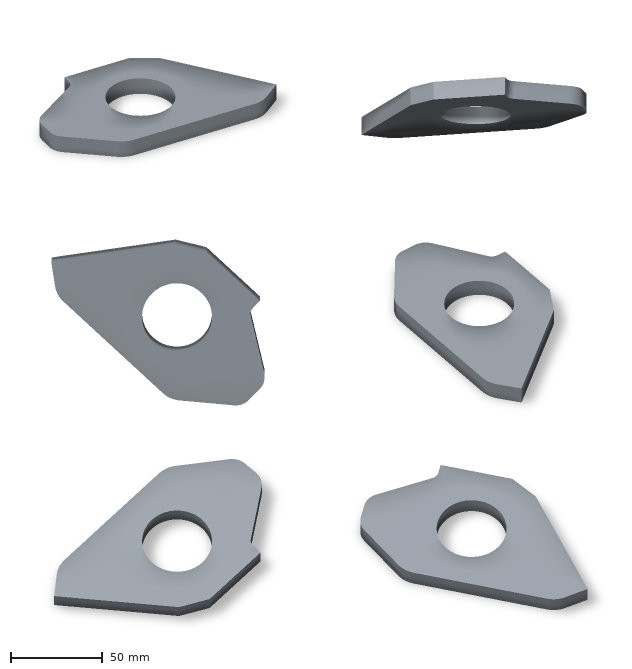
import cadquery as cq

plate_width = 73.9
plate_length = 131.2
thickness = 10.0
bore_diameter = 38.0
left_x = -37.7
right_x = left_x + plate_width
bottom_y = -60.4
tip_y = bottom_y + plate_length
tip_x = 24.7
step_y = -26.4

side_corner_radius = 15.0
bottom_corner_radius = 10.0
step_corner_radius = 5.0

left_step = (left_x, step_y)
inner_step = (-29.5, step_y)
bottom_left = (-7.1, bottom_y)
bottom_right = (11.5, bottom_y)
lower_right = (right_x, -29.0)
upper_right = (right_x, 56.0)
tip = (tip_x, tip_y)
shoulder = (-29.1, 28.9)
upper_left = (left_x, 13.8)

outline = [
    left_step, inner_step, bottom_left, bottom_right, lower_right,
    upper_right, tip, shoulder, upper_left,
]


def round_corner(body, corner, radius):
    """Round the vertical edge standing on one outline corner."""
    edge_middle = (corner[0], corner[1], thickness / 2)
    edge = cq.selectors.NearestToPointSelector(edge_middle)
    return body.edges("|Z").edges(edge).fillet(radius)


plate = cq.Workplane("XY").polyline(outline).close().extrude(thickness)
for corner, radius in (
    (inner_step, step_corner_radius),
    (bottom_left, bottom_corner_radius),
    (bottom_right, bottom_corner_radius),
    (lower_right, side_corner_radius),
    (upper_right, side_corner_radius),
):
    plate = round_corner(plate, corner, radius)

bore = cq.Workplane("XY").circle(bore_diameter / 2).extrude(thickness)
result = plate.cut(bore)